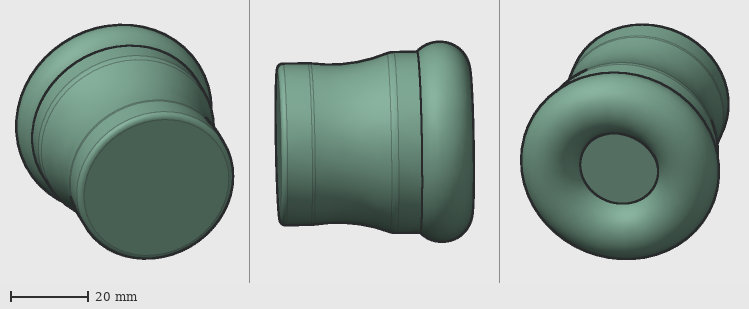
import cadquery as cq
import math


ring_outer_radius = 26.0
ring_tube_radius = 7.9
ring_center_radius = ring_outer_radius - ring_tube_radius
ring_center_x = ring_tube_radius

knob_end_x = 50.0
collar_radius = 47.0 / 2
base_radius = 42.0 / 2
collar_end_x = 19.7
base_start_x = 42.0
shoulder_radius = 5.0
waist_radius = 38.95
end_fillet = 1.55
front_x = 6.65


def make_ring():
    """Full torus around the X axis."""
    return (
        cq.Workplane("XY")
        .center(ring_center_x, ring_center_radius)
        .circle(ring_tube_radius)
        .revolve(360, (0, -ring_center_radius), (1, -ring_center_radius))
    )


def waist_center():
    """Center of the waist arc, tangent to both shoulder arcs, as (x, radius)."""
    run = base_start_x - collar_end_x
    drop = base_radius - collar_radius
    span = math.hypot(run, drop)
    reach = math.sqrt((waist_radius + shoulder_radius) ** 2 - (span / 2) ** 2)
    middle_x = (collar_end_x + base_start_x) / 2
    middle_radius = (collar_radius + base_radius) / 2 - shoulder_radius
    return middle_x - reach * drop / span, middle_radius + reach * run / span


def tangent_point(shoulder_center, waist):
    """Point where a shoulder arc passes into the waist arc."""
    share = shoulder_radius / (shoulder_radius + waist_radius)
    return tuple(s + (w - s) * share for s, w in zip(shoulder_center, waist))


def shoulder_middle(shoulder_center, waist, start_angle):
    """Point halfway along a shoulder arc that starts at the given angle."""
    x, radius = shoulder_center
    end_angle = math.atan2(waist[1] - radius, waist[0] - x)
    angle = (start_angle + end_angle) / 2
    return x + shoulder_radius * math.cos(angle), radius + shoulder_radius * math.sin(angle)


def make_knob():
    """Solid of revolution with a groove in its front that seats the ring."""
    waist = waist_center()
    waist_bottom = (waist[0], waist[1] - waist_radius)
    collar_shoulder = (collar_end_x, collar_radius - shoulder_radius)
    base_shoulder = (base_start_x, base_radius - shoulder_radius)
    upward = math.pi / 2

    front_edge_drop = math.sqrt(ring_tube_radius**2 - (ring_center_x - front_x) ** 2)
    front_edge_radius = ring_center_radius - front_edge_drop
    seat_rise = collar_radius - ring_center_radius
    seat_end_x = ring_center_x + math.sqrt(ring_tube_radius**2 - seat_rise**2)
    seat_bottom = (ring_center_x + ring_tube_radius, ring_center_radius)

    profile = (
        cq.Workplane("XY")
        .moveTo(front_x, 0)
        .lineTo(front_x, front_edge_radius)
        .threePointArc(seat_bottom, (seat_end_x, collar_radius))
        .lineTo(collar_end_x, collar_radius)
        .threePointArc(
            shoulder_middle(collar_shoulder, waist, upward),
            tangent_point(collar_shoulder, waist),
        )
        .threePointArc(waist_bottom, tangent_point(base_shoulder, waist))
        .threePointArc(
            shoulder_middle(base_shoulder, waist, upward),
            (base_start_x, base_radius),
        )
        .lineTo(knob_end_x, base_radius)
        .lineTo(knob_end_x, 0)
        .close()
    )
    knob = profile.revolve(360, (0, 0), (1, 0))
    return knob.faces(">X").edges().fillet(end_fillet)


ring = make_ring()
knob = make_knob()

result = cq.Compound.makeCompound([ring.val(), knob.val()])